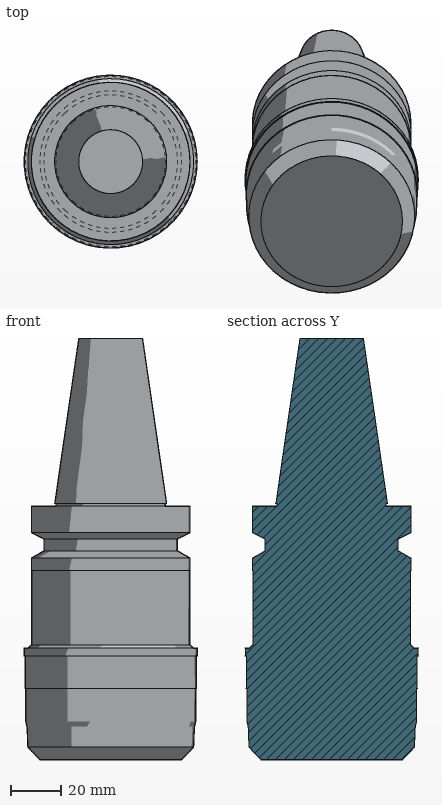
import cadquery as cq

total_height = 167.0
taper_length = 65.5
taper_ratio = 7 / 24
gauge_diameter = 44.5
gauge_z = total_height - taper_length
tip_diameter = gauge_diameter - taper_ratio * taper_length
neck_diameter = 43.5
flange_top_z = gauge_z - 1.0

flange_diameter = 63.0
groove_diameter = 53.0
groove_top_z = 90.0
groove_floor_top_z = 87.5
groove_floor_bottom_z = 82.8
groove_bottom_z = 80.0
flange_bottom_z = 75.0

body_diameter = 62.8
body_bottom_z = 45.6
foot_diameter = 65.8

collar_diameter = 68.6
collar_top_z = 44.3
collar_bottom_z = 41.2
upper_nut_diameter = 68.0
lower_nut_diameter = 67.5
nut_split_z = 28.2
nut_bottom_z = 15.2

cap_top_diameter = 66.5
cap_bottom_diameter = 65.8
cap_top_z = 13.0
end_bevel_z = 5.0
end_diameter = 56.1

profile = [
    (end_diameter, 0),
    (cap_bottom_diameter, end_bevel_z),
    (cap_top_diameter, cap_top_z),
    (lower_nut_diameter, nut_bottom_z),
    (lower_nut_diameter, nut_split_z),
    (upper_nut_diameter, nut_split_z),
    (upper_nut_diameter, collar_bottom_z),
    (collar_diameter, collar_bottom_z),
    (collar_diameter, collar_top_z),
    (foot_diameter, collar_top_z),
    (body_diameter, body_bottom_z),
    (body_diameter, flange_bottom_z),
    (flange_diameter, flange_bottom_z),
    (flange_diameter, groove_bottom_z),
    (groove_diameter, groove_floor_bottom_z),
    (groove_diameter, groove_floor_top_z),
    (flange_diameter, groove_top_z),
    (flange_diameter, flange_top_z),
    (neck_diameter, flange_top_z),
    (neck_diameter, gauge_z),
    (gauge_diameter, gauge_z),
    (tip_diameter, total_height),
]
half_section = [(0, 0)] + [(diameter / 2, z) for diameter, z in profile] + [(0, total_height)]

result = cq.Workplane("XZ").polyline(half_section).close().revolve(360, (0, 0, 0), (0, 1, 0))